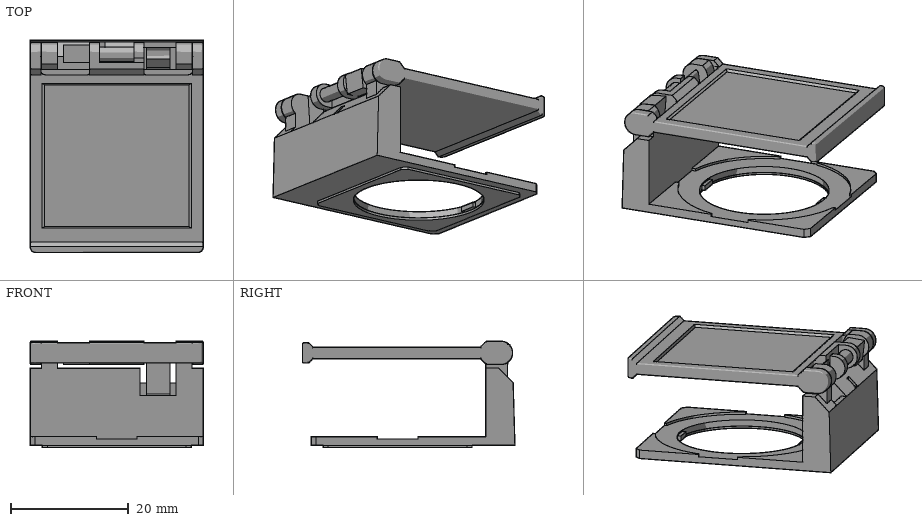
import cadquery as cq
WIDTH = 29.4
HALF = WIDTH / 2
PIVOT_Y = 17.53
PIVOT_Z = 15.7
LOBE_RADIUS = 2.0
LOBE_TOP = PIVOT_Z + LOBE_RADIUS
LOBE_BOTTOM = PIVOT_Z - LOBE_RADIUS
WALL_INNER_Y = 14.95

PLATE_THICKNESS = 1.5
PLATE_CORNER = 0.85
LIP_SIZE = 25.3
LIP_HEIGHT = 0.4
SEAT_DIAMETER = WIDTH
SEAT_DEPTH = 0.4
SEAT_OPENING_HALF = 3.43
HOLE_DIAMETER = 22.0
LIP_HOLE_DIAMETER = 22.2
TAB_HALF = 1.6
TAB_TIP_Y = 10.3
TAB_HEIGHT = 0.85

WALL_FOOT_Y = 19.93
WALL_SHOULDER_Y = 19.63
WALL_SHOULDER_Z = 10.63
WALL_TOP_Z = 13.13
WALL_BEVEL = WALL_TOP_Z - WALL_SHOULDER_Z

KNUCKLE_INNER_X = 10.03
KNUCKLE_OUTER_X = 12.78
KNUCKLE_REAR_Y = 18.68
KNUCKLE_FRONT_RADIUS = PIVOT_Y - WALL_INNER_Y

SLOT_LEFT_X = 3.95
SLOT_FLOOR_Z = 8.43
FINGER_LEFT_X = 5.05
FINGER_RIGHT_X = 9.05
FINGER_FOOT_Y = 15.25
FINGER_FOOT_Z = 8.7
FINGER_FACE_TOP_Y = 16.2
FINGER_FACE_TOP_Z = 16.6
FINGER_TIP_Y = 16.71
FINGER_TIP_Z = 17.2
FINGER_TIP_RADIUS = 0.8
BEND_RADIUS = 1.23
BEND_THICKNESS = 0.8
BEND_Y = KNUCKLE_REAR_Y - BEND_RADIUS
BEND_Z = SLOT_FLOOR_Z + BEND_THICKNESS + BEND_RADIUS

POCKET_LEFT_X = -2.97
POCKET_RIGHT_X = -2.0
POCKET_FRONT_Y = 18.0

PANEL_HALF_THICKNESS = 1.0
LOBE_SLOPE_Y = 15.05
PANEL_REAR_Y = LOBE_SLOPE_Y - (LOBE_RADIUS - PANEL_HALF_THICKNESS)
RIM_FRONT_Y = -16.17
RIM_BACK_Y = -15.12
RIM_HALF_HEIGHT = 1.75
RIM_CORNER_RADIUS = 1.0
LID_ROUND = 0.27

WINDOW_X = 25.3
WINDOW_Y = 24.6
WINDOW_FLOOR_X = 24.5
WINDOW_FLOOR_Y = 24.1
WINDOW_CENTRE_Y = 0.3
WINDOW_DEPTH = 0.4

CENTRE_LOBE_HALF = 4.62
RELIEF_OUTER_X = 12.9
RELIEF_OUTER_RADIUS = 0.75
RELIEF_INNER_RADIUS = 0.3
NOTCH_HALF = 2.97
NOTCH_FRONT_Y = 16.17
PIN_DIAMETER = 2.46
EYE_FRONT_Y = 16.87

STOP_LEFT_X = -9.08
STOP_REAR_Y = 19.08
STOP_FRONT_TOP_Z = 17.41
STOP_REAR_TOP_Z = 17.09
STOP_FRONT_UNDERCUT = 0.28

TALL = 50.0


def box(x0, x1, y0, y1, z0, z1):
    """Axis-aligned block between two opposite corners."""
    return cq.Workplane("XY").box(x1 - x0, y1 - y0, z1 - z0, centered=False).translate((x0, y0, z0))


def side_plane(x):
    """YZ sketch plane at the given X, extruding toward +X."""
    return cq.Workplane("YZ", origin=(x, 0, 0))


def pivot_cylinder(x0, x1, radius):
    return side_plane(x0).center(PIVOT_Y, PIVOT_Z).circle(radius).extrude(x1 - x0)


def seat_blank():
    """Sketch plane on the floor of the lens seat."""
    return cq.Workplane("XY", origin=(0, 0, PLATE_THICKNESS - SEAT_DEPTH))


def make_plate():
    """Square plate with a round seat open on all four sides, and a lip below around the hole."""
    plate = box(-HALF, HALF, -HALF, WALL_INNER_Y, 0, PLATE_THICKNESS)
    plate = plate.edges("|Z and <Y").chamfer(PLATE_CORNER)
    seat = seat_blank().circle(SEAT_DIAMETER / 2).extrude(TALL)
    opening = 2 * SEAT_OPENING_HALF
    seat = seat.union(seat_blank().rect(opening, TALL).extrude(TALL))
    seat = seat.union(seat_blank().rect(TALL, opening).extrude(TALL))
    hole = cq.Workplane("XY").circle(HOLE_DIAMETER / 2).extrude(TALL)
    plate = plate.cut(seat).cut(hole)
    tabs = cq.Workplane("XY").circle(SEAT_DIAMETER / 2).rect(2 * TAB_HALF, 2 * TAB_TIP_Y).extrude(TAB_HEIGHT)
    tabs = tabs.intersect(cq.Workplane("XY").rect(2 * TAB_HALF, WIDTH).extrude(TAB_HEIGHT))
    plate = plate.union(tabs)
    lip = cq.Workplane("XY").rect(LIP_SIZE, LIP_SIZE).extrude(-LIP_HEIGHT).edges("|Z").chamfer(PLATE_CORNER)
    lip_hole = cq.Workplane("XY").circle(LIP_HOLE_DIAMETER / 2).extrude(-LIP_HEIGHT)
    return plate.union(lip.cut(lip_hole))


def make_wall():
    profile = [
        (WALL_INNER_Y, 0),
        (WALL_FOOT_Y, 0),
        (WALL_SHOULDER_Y, WALL_SHOULDER_Z),
        (WALL_SHOULDER_Y - WALL_BEVEL, WALL_TOP_Z),
        (WALL_INNER_Y, WALL_TOP_Z),
    ]
    return side_plane(-HALF).polyline(profile).close().extrude(WIDTH)


def make_knuckle(x0):
    """Upright lug with a round rear, a flat top and a larger round front."""
    length = KNUCKLE_OUTER_X - KNUCKLE_INNER_X
    rear = pivot_cylinder(x0, x0 + length, LOBE_RADIUS)
    front = pivot_cylinder(x0, x0 + length, KNUCKLE_FRONT_RADIUS)
    front = front.intersect(box(x0, x0 + length, WALL_INNER_Y, PIVOT_Y, PIVOT_Z, LOBE_TOP))
    post = box(x0, x0 + length, WALL_INNER_Y, KNUCKLE_REAR_Y, WALL_SHOULDER_Z, PIVOT_Z)
    return rear.union(front).union(post)


def make_finger():
    """Leaning spring finger, joined to the rear of its slot by a round bend."""
    return (
        side_plane(FINGER_LEFT_X)
        .moveTo(KNUCKLE_REAR_Y, SLOT_FLOOR_Z)
        .lineTo(WALL_INNER_Y, SLOT_FLOOR_Z)
        .lineTo(FINGER_FOOT_Y, FINGER_FOOT_Z)
        .lineTo(FINGER_FACE_TOP_Y, FINGER_FACE_TOP_Z)
        .radiusArc((FINGER_TIP_Y, FINGER_TIP_Z), FINGER_TIP_RADIUS)
        .lineTo(BEND_Y - BEND_RADIUS, BEND_Z)
        .threePointArc((BEND_Y, BEND_Z - BEND_RADIUS), (KNUCKLE_REAR_Y, BEND_Z))
        .close()
        .extrude(FINGER_RIGHT_X - FINGER_LEFT_X)
    )


def make_base():
    base = make_plate().union(make_wall())
    slot = box(SLOT_LEFT_X, KNUCKLE_INNER_X, WALL_INNER_Y, KNUCKLE_REAR_Y, SLOT_FLOOR_Z, TALL)
    slot_top = box(SLOT_LEFT_X, KNUCKLE_INNER_X, WALL_INNER_Y, WALL_FOOT_Y, WALL_SHOULDER_Z, TALL)
    pocket = box(POCKET_LEFT_X, POCKET_RIGHT_X, POCKET_FRONT_Y, WALL_FOOT_Y, WALL_SHOULDER_Z, TALL)
    base = base.cut(slot).cut(slot_top).cut(pocket)
    for x0 in (-KNUCKLE_OUTER_X, KNUCKLE_INNER_X):
        base = base.union(make_knuckle(x0))
    return base.union(make_finger())


def make_lid_blank():
    """Side profile of lobe, panel and rim swept across the width, rounded along its outline."""
    panel_top = PIVOT_Z + PANEL_HALF_THICKNESS
    panel_bottom = PIVOT_Z - PANEL_HALF_THICKNESS
    rim_slope_y = RIM_BACK_Y + (RIM_HALF_HEIGHT - PANEL_HALF_THICKNESS)
    rim_top = PIVOT_Z + RIM_HALF_HEIGHT
    rim_bottom = PIVOT_Z - RIM_HALF_HEIGHT
    blank = (
        side_plane(-HALF)
        .moveTo(PIVOT_Y, LOBE_TOP)
        .lineTo(LOBE_SLOPE_Y, LOBE_TOP)
        .lineTo(PANEL_REAR_Y, panel_top)
        .lineTo(rim_slope_y, panel_top)
        .lineTo(RIM_BACK_Y, rim_top)
        .lineTo(RIM_FRONT_Y, rim_top)
        .lineTo(RIM_FRONT_Y, rim_bottom)
        .lineTo(RIM_BACK_Y, rim_bottom)
        .lineTo(rim_slope_y, panel_bottom)
        .lineTo(PANEL_REAR_Y, panel_bottom)
        .lineTo(LOBE_SLOPE_Y, LOBE_BOTTOM)
        .lineTo(PIVOT_Y, LOBE_BOTTOM)
        .threePointArc((PIVOT_Y + LOBE_RADIUS, PIVOT_Z), (PIVOT_Y, LOBE_TOP))
        .close()
        .extrude(WIDTH)
    )
    blank = blank.faces("<X or >X").edges("not (|Z and <Y)").fillet(LID_ROUND)
    rim_envelope = box(-HALF, HALF, RIM_FRONT_Y, 0, rim_bottom, rim_top)
    rim_envelope = rim_envelope.edges("|Z and <Y").fillet(RIM_CORNER_RADIUS)
    rim_envelope = rim_envelope.faces("<Z or >Z").edges("not >Y").fillet(LID_ROUND)
    hinge_envelope = box(-HALF, HALF, 0, TALL, 0, TALL)
    return blank.intersect(rim_envelope.union(hinge_envelope))


def make_window():
    top = PIVOT_Z + PANEL_HALF_THICKNESS
    return (
        cq.Workplane("XY", origin=(0, WINDOW_CENTRE_Y, top - WINDOW_DEPTH))
        .rect(WINDOW_FLOOR_X, WINDOW_FLOOR_Y)
        .workplane(offset=WINDOW_DEPTH)
        .rect(WINDOW_X, WINDOW_Y)
        .loft()
    )


def make_relief():
    """Opening on the +X side that clears a knuckle: square through the lobe, rounded through the panel."""
    panel_top = PIVOT_Z + PANEL_HALF_THICKNESS
    panel_bottom = PIVOT_Z - PANEL_HALF_THICKNESS
    through_panel = box(CENTRE_LOBE_HALF, RELIEF_OUTER_X, PANEL_REAR_Y, TALL, 0, TALL)
    through_panel = through_panel.edges("|Z and <Y and >X").fillet(RELIEF_OUTER_RADIUS)
    through_panel = through_panel.edges("|Z and <Y and <X").fillet(RELIEF_INNER_RADIUS)
    above = box(CENTRE_LOBE_HALF, RELIEF_OUTER_X, PANEL_REAR_Y, TALL, panel_top, TALL)
    below = box(CENTRE_LOBE_HALF, RELIEF_OUTER_X, PANEL_REAR_Y, TALL, 0, panel_bottom)
    return through_panel.union(above).union(below)


def make_stop():
    """Block with a top sloping down to the rear and a slightly undercut front and rear."""
    profile = [
        (NOTCH_FRONT_Y, STOP_FRONT_TOP_Z),
        (STOP_REAR_Y, STOP_REAR_TOP_Z),
        (KNUCKLE_REAR_Y, LOBE_BOTTOM),
        (NOTCH_FRONT_Y + STOP_FRONT_UNDERCUT, LOBE_BOTTOM),
    ]
    return side_plane(STOP_LEFT_X).polyline(profile).close().extrude(-CENTRE_LOBE_HALF - STOP_LEFT_X)


def make_lid():
    relief = make_relief()
    lid = make_lid_blank().cut(make_window()).cut(relief).cut(relief.mirror("YZ"))
    notch = box(-NOTCH_HALF, NOTCH_HALF, NOTCH_FRONT_Y, TALL, 0, TALL)
    eye_gap = box(NOTCH_HALF, CENTRE_LOBE_HALF, NOTCH_FRONT_Y, EYE_FRONT_Y, PIVOT_Z, TALL)
    lid = lid.cut(notch).cut(eye_gap)
    pin = pivot_cylinder(-NOTCH_HALF, NOTCH_HALF, PIN_DIAMETER / 2)
    return lid.union(pin).union(make_stop())


base = make_base()
lid = make_lid()
result = cq.Compound.makeCompound([base.val(), lid.val()])